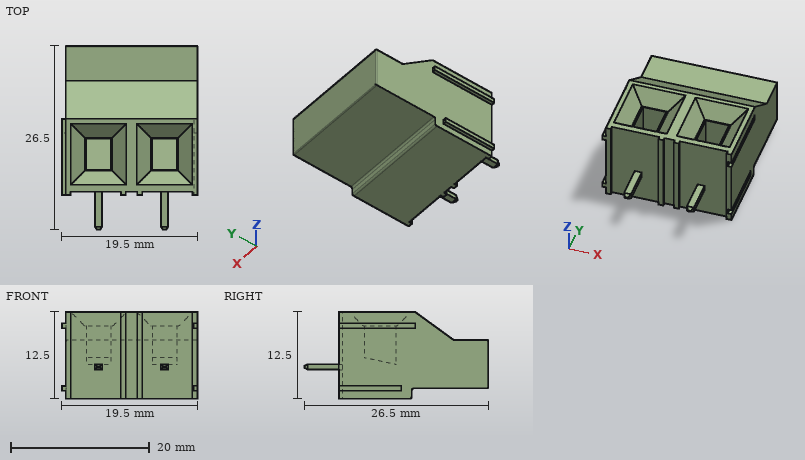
import cadquery as cq
import math


POLE_COUNT = 2
PITCH = 9.5
HOUSING_WIDTH = POLE_COUNT * PITCH

HEIGHT = 12.5
DEPTH = 21.5
FRONT_RECESS = 0.5
TOP_LENGTH = 11.0
SLOPE_END = 16.5
BACK_TOP = 8.5
BACK_BOTTOM = 1.5
STEP_Y = 10.5
STEP_RADIUS = 0.3
BACK_EDGE_RADIUS = 0.15

RIB_WIDTH = 0.75
RIB_JOINT_GAP = 0.8

RAIL_PROJECTION = 0.54
RAIL_HEIGHT = 0.75
UPPER_RAIL_BOTTOM = 10.15
UPPER_RAIL_LENGTH = TOP_LENGTH
LOWER_RAIL_BOTTOM = 1.13
LOWER_RAIL_LENGTH = 9.0

FUNNEL_WIDTH = 8.0
FUNNEL_LENGTH = 8.8
FUNNEL_CENTER_Y = 5.9
FUNNEL_DEPTH = 2.0
WELL_WIDTH = 3.5
WELL_LENGTH = 4.52
WELL_BOTTOM = 5.0
WELL_FLOOR_ANGLE = 12.0

PIN_WIDTH = 1.05
PIN_HEIGHT = 0.8
PIN_CENTER_Z = 4.6
PIN_PROJECTION = 5.0
PIN_TIP_LENGTH = 0.5
PIN_TIP_INSET = 0.3


def block(x, y, z):
    """Box spanning the given (low, high) ranges."""
    size = [high - low for low, high in (x, y, z)]
    return cq.Workplane("XY").box(*size, centered=False).translate((x[0], y[0], z[0]))


def pole_center(pole):
    return (pole + 0.5) * PITCH


def housing():
    body = (
        cq.Workplane("YZ")
        .moveTo(FRONT_RECESS, 0)
        .lineTo(STEP_Y, 0)
        .lineTo(STEP_Y, BACK_BOTTOM)
        .lineTo(DEPTH, BACK_BOTTOM)
        .lineTo(DEPTH, BACK_TOP)
        .lineTo(SLOPE_END, BACK_TOP)
        .lineTo(TOP_LENGTH, HEIGHT)
        .lineTo(FRONT_RECESS, HEIGHT)
        .close()
        .extrude(HOUSING_WIDTH)
    )
    step_middle_x = HOUSING_WIDTH / 2
    for corner_z in (BACK_BOTTOM, 0):
        corner = cq.selectors.NearestToPointSelector((step_middle_x, STEP_Y, corner_z))
        body = body.edges(corner).fillet(STEP_RADIUS)
    return body.faces(">Y").edges().fillet(BACK_EDGE_RADIUS)


def front_ribs():
    """Ribs flush with the outer sides and beside every joint between poles."""
    starts = [0, HOUSING_WIDTH - RIB_WIDTH]
    for joint in range(1, POLE_COUNT):
        starts.append(joint * PITCH - RIB_JOINT_GAP - RIB_WIDTH)
        starts.append(joint * PITCH + RIB_JOINT_GAP)
    ribs = cq.Workplane("XY")
    for start in starts:
        ribs = ribs.add(block((start, start + RIB_WIDTH), (0, FRONT_RECESS), (0, HEIGHT)))
    return ribs.combine()


def side_bars(outer_x):
    """Upper and lower bars projecting left from the plane X = outer_x."""
    x_range = (outer_x - RAIL_PROJECTION, outer_x)
    upper = block(
        x_range, (0, UPPER_RAIL_LENGTH), (UPPER_RAIL_BOTTOM, UPPER_RAIL_BOTTOM + RAIL_HEIGHT)
    )
    lower = block(
        x_range, (0, LOWER_RAIL_LENGTH), (LOWER_RAIL_BOTTOM, LOWER_RAIL_BOTTOM + RAIL_HEIGHT)
    )
    return upper.add(lower).combine()


def funnel(center_x):
    """Tapered wire entry with a narrower well below it."""
    taper = (
        cq.Workplane("XY", origin=(center_x, FUNNEL_CENTER_Y, HEIGHT))
        .rect(FUNNEL_WIDTH, FUNNEL_LENGTH)
        .workplane(offset=-FUNNEL_DEPTH)
        .rect(FUNNEL_WIDTH - 2 * FUNNEL_DEPTH, FUNNEL_LENGTH - 2 * FUNNEL_DEPTH)
        .loft(ruled=True)
    )
    front_y = FUNNEL_CENTER_Y - WELL_LENGTH / 2
    rear_y = FUNNEL_CENTER_Y + WELL_LENGTH / 2
    floor_rise = WELL_LENGTH * math.tan(math.radians(WELL_FLOOR_ANGLE))
    well_top = HEIGHT - FUNNEL_DEPTH
    well = (
        cq.Workplane("YZ", origin=(center_x - WELL_WIDTH / 2, 0, 0))
        .moveTo(front_y, WELL_BOTTOM + floor_rise)
        .lineTo(rear_y, WELL_BOTTOM)
        .lineTo(rear_y, well_top)
        .lineTo(front_y, well_top)
        .close()
        .extrude(WELL_WIDTH)
    )
    return taper.union(well)


def pin(center_x):
    """Rectangular pin with a blunt pyramid tip."""
    shank_end = PIN_TIP_LENGTH - PIN_PROJECTION
    shank = block(
        (center_x - PIN_WIDTH / 2, center_x + PIN_WIDTH / 2),
        (shank_end, FRONT_RECESS),
        (PIN_CENTER_Z - PIN_HEIGHT / 2, PIN_CENTER_Z + PIN_HEIGHT / 2),
    )
    tip = (
        cq.Workplane("XZ", origin=(center_x, shank_end, PIN_CENTER_Z))
        .rect(PIN_WIDTH, PIN_HEIGHT)
        .workplane(offset=PIN_TIP_LENGTH)
        .rect(PIN_WIDTH - 2 * PIN_TIP_INSET, PIN_HEIGHT - 2 * PIN_TIP_INSET)
        .loft(ruled=True)
    )
    return shank.union(tip)


result = housing().union(front_ribs())
result = result.union(side_bars(0)).cut(side_bars(HOUSING_WIDTH))
for pole in range(POLE_COUNT):
    result = result.cut(funnel(pole_center(pole))).union(pin(pole_center(pole)))